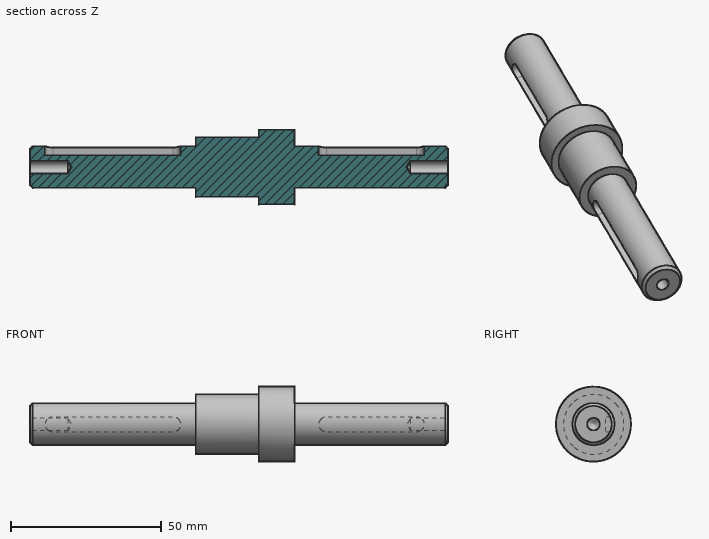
import cadquery as cq
import math

total_length = 139.0
shaft_diameter = 14.0
sleeve_diameter = 20.0
flange_diameter = 25.0
sleeve_start = 55.0
sleeve_length = 21.0
flange_length = 12.0
chamfer = 1.0

hole_diameter = 4.2
hole_depth = 12.5
drill_point_angle = 118.0

keyway_width = 5.0
keyway_depth = 3.0
left_keyway_length = 45.0
right_keyway_length = 35.0

flange_start = sleeve_start + sleeve_length
flange_end = flange_start + flange_length


def cylinder(start, length, diameter):
    """Cylinder on the X axis."""
    return cq.Workplane("YZ").workplane(offset=start).circle(diameter / 2).extrude(length)


def drilled_hole():
    """Cutter for a drilled hole that enters at X = 0 and ends in a drill point."""
    radius = hole_diameter / 2
    point_length = radius / math.tan(math.radians(drill_point_angle / 2))
    return (
        cq.Workplane("XY")
        .polyline([(0, 0), (0, radius), (hole_depth, radius), (hole_depth + point_length, 0)])
        .close()
        .revolve(360, (0, 0), (1, 0))
    )


def keyway(centre, length):
    """Cutter for a keyway sunk into the +Y side of the shaft."""
    floor = shaft_diameter / 2 - keyway_depth
    return (
        cq.Workplane("XZ", origin=(centre, floor, 0))
        .slot2D(length, keyway_width)
        .extrude(-shaft_diameter)
    )


body = cylinder(0, total_length, shaft_diameter).faces("<X or >X").chamfer(chamfer)
body = body.union(cylinder(sleeve_start, sleeve_length, sleeve_diameter))
body = body.union(cylinder(flange_start, flange_length, flange_diameter))

left_hole = drilled_hole()
right_hole = left_hole.mirror("YZ").translate((total_length, 0, 0))
body = body.cut(left_hole).cut(right_hole)

body = body.cut(keyway(sleeve_start / 2, left_keyway_length))
body = body.cut(keyway((flange_end + total_length) / 2, right_keyway_length))

result = body.translate((-total_length / 2, 0, 0))